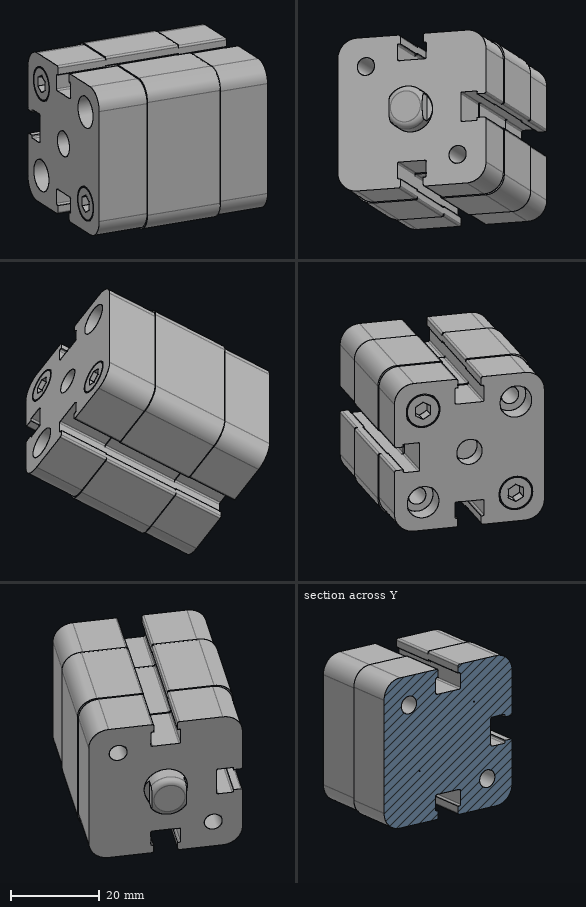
import cadquery as cq
import math

cap_length = 12.2
barrel_length = 18.6
rod_length = 4.5
body_length = 2 * cap_length + barrel_length

barrel_width = 36.1
cap_width = 35.6
barrel_corner_radius = 4.5
cap_corner_radius = 4.6

slot_depth = 6.0
slot_mouth_width = 5.5
slot_chamber_width = 6.85
slot_lip_thickness = 2.1
slot_chamber_radius = 0.35
slot_mouth_radius = 0.45
slot_cutter_overhang = 2.0
slot_angles = (0, 90, 180)

rod_diameter = 10.0
rod_flat_width = 8.0
rod_end_radius = 1.4
rod_shoulder_gap = 1.1

hole_offset = 11.0
counterbore_diameter = 7.5
counterbore_depth = 4.7
through_hole_diameter = 4.13
port_diameter = 6.0
port_depth = 4.0
screw_recess_diameter = 8.0
screw_head_diameter = 7.5
screw_gap_depth = 4.0
hex_corner_diameter = 4.13
hex_depth = 3.0


def xz_plane(y):
    """Sketch plane at the given Y, with local x = X, local y = Z and normal = -Y."""
    return cq.Workplane("XZ", origin=(0, y, 0))


def slot_cutter(width, y_start, length):
    """T-slot in the +Z face of a square section, with its mouth edges rounded."""
    face = width / 2
    floor = face - slot_depth
    chamber_top = face - slot_lip_thickness
    chamber_middle = (floor + chamber_top) / 2
    chamber = (
        xz_plane(y_start)
        .center(0, chamber_middle)
        .rect(slot_chamber_width, chamber_top - floor)
        .extrude(-length)
        .edges("|Y")
        .fillet(slot_chamber_radius)
    )
    half_mouth = slot_mouth_width / 2
    half_flare = half_mouth + slot_mouth_radius
    arc_inset = slot_mouth_radius * (1 - math.sqrt(0.5))
    outside = face + slot_cutter_overhang
    arc_start = face - slot_mouth_radius
    mouth = (
        xz_plane(y_start)
        .moveTo(-half_mouth, chamber_middle)
        .lineTo(half_mouth, chamber_middle)
        .lineTo(half_mouth, arc_start)
        .threePointArc((half_mouth + arc_inset, face - arc_inset), (half_flare, face))
        .lineTo(half_flare, outside)
        .lineTo(-half_flare, outside)
        .lineTo(-half_flare, face)
        .threePointArc((-half_mouth - arc_inset, face - arc_inset), (-half_mouth, arc_start))
        .close()
        .extrude(-length)
    )
    return chamber.union(mouth)


def body_section(width, corner_radius, y_start, length):
    """Rounded square block with T-slots on +Z, -X and -Z."""
    block = xz_plane(y_start).rect(width, width).extrude(-length).edges("|Y").fillet(corner_radius)
    cutter = slot_cutter(width, y_start, length)
    for angle in slot_angles:
        block = block.cut(cutter.rotate((0, 0, 0), (0, 1, 0), -angle))
    return block


def piston_rod():
    """Round rod end with two flats whose inner ends run out at 45 degrees."""
    rod = (
        xz_plane(body_length)
        .circle(rod_diameter / 2)
        .extrude(-rod_length)
        .faces(">Y")
        .edges()
        .fillet(rod_end_radius)
    )
    flat = rod_flat_width / 2
    flat_start = body_length + rod_shoulder_gap
    rod_end = body_length + rod_length
    runout = flat_start - body_length
    envelope = (
        cq.Workplane("XY")
        .polyline([
            (-flat - runout, body_length),
            (flat + runout, body_length),
            (flat, flat_start),
            (flat, rod_end),
            (-flat, rod_end),
            (-flat, flat_start),
        ])
        .close()
        .extrude(rod_diameter, both=True)
    )
    return rod.intersect(envelope)


def cylinders(points, diameter, depth):
    """Cylinders going into the part from the front face."""
    return xz_plane(0).pushPoints(points).circle(diameter / 2).extrude(-depth)


def screw_cutter(x, z):
    """Ring-shaped gap around a screw head together with its hexagonal socket, a corner pointing up."""
    recess = cylinders([(x, z)], screw_recess_diameter, screw_gap_depth)
    head = cylinders([(x, z)], screw_head_diameter, screw_gap_depth)
    socket = (
        xz_plane(0)
        .transformed(offset=(x, z, 0), rotate=(0, 0, 90))
        .polygon(6, hex_corner_diameter)
        .extrude(-hex_depth)
    )
    return recess.cut(head).union(socket)


hole_points = [(hole_offset, hole_offset), (-hole_offset, -hole_offset)]
screw_points = [(-hole_offset, hole_offset), (hole_offset, -hole_offset)]

front_cap = body_section(cap_width, cap_corner_radius, 0, cap_length)
barrel = body_section(barrel_width, barrel_corner_radius, cap_length, barrel_length)
rear_cap = body_section(cap_width, cap_corner_radius, cap_length + barrel_length, cap_length)
result = front_cap.union(barrel).union(rear_cap).union(piston_rod())

result = result.cut(cylinders(hole_points, counterbore_diameter, counterbore_depth))
result = result.cut(cylinders(hole_points, through_hole_diameter, body_length))
result = result.cut(cylinders([(0, 0)], port_diameter, port_depth))
for screw_x, screw_z in screw_points:
    result = result.cut(screw_cutter(screw_x, screw_z))